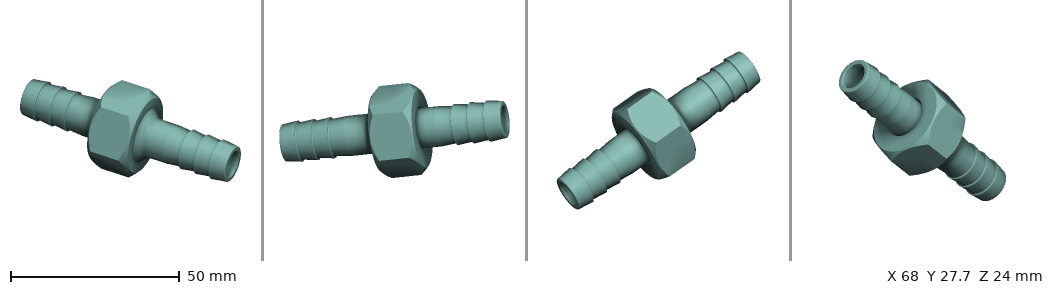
import cadquery as cq
import math

total_length = 68.0
bore_radius = 8.0 / 2

stem_radius = 12.0 / 2
barb_count = 4
barb_pitch = 5.0
barb_crest_radius = 12.3 / 2
barb_root_radius = 11.0 / 2
barb_fillet = 0.35
bore_chamfer = 0.2

nut_start = 25.5
nut_length = 13.45
across_flats = 24.0
face_circle_radius = 23.4 / 2
corner_margin = 0.7
clearance_radius = 13.0 / 2

head_radius = 16.6 / 2
neck_fillet = 1.0

nut_end = nut_start + nut_length
joint_x = nut_start + nut_length / 2
half_length = total_length / 2
across_corners = across_flats / math.cos(math.pi / 6)


def revolve_about_x(points):
    """Closed solid from an (x, radius) outline turned about the X axis."""
    return cq.Workplane("XY").polyline(points).close().revolve(360, (0, 0, 0), (1, 0, 0))


def cylinder_along_x(start, end, radius):
    return cq.Workplane("YZ", origin=(start, 0, 0)).circle(radius).extrude(end - start)


def barb_outline():
    """(x, radius) points from the hose end at x = 0 to the start of the plain stem."""
    points = [(0, barb_root_radius)]
    for barb in range(1, barb_count):
        crest_x = barb * barb_pitch
        points.append((crest_x, barb_crest_radius))
        points.append((crest_x, barb_root_radius))
    points.append((barb_count * barb_pitch, stem_radius))
    return points


def make_tail(length, inner_end):
    """Barbed tube with its hose end at x = 0; inner_end closes the outline."""
    tail = revolve_about_x([(0, 0)] + barb_outline() + inner_end + [(length, 0)])
    smallest_circles = cq.selectors.RadiusNthSelector(0)
    return tail.edges(smallest_circles).fillet(barb_fillet)


def drill_bore(tail, length):
    """Through bore with a small chamfer at the hose end."""
    tail = tail.cut(cylinder_along_x(0, length, bore_radius))
    mouth_radius = bore_radius + bore_chamfer
    return tail.cut(
        revolve_about_x([(0, 0), (0, mouth_radius), (bore_chamfer, bore_radius), (bore_chamfer, 0)])
    )


def make_left_tail():
    tail = make_tail(joint_x, [(joint_x, stem_radius)])
    return drill_bore(tail, joint_x)


def make_right_tail():
    """Tail with a cylindrical head and a 45 degree cone down to the stem."""
    length = total_length - joint_x
    cone_start = total_length - nut_end
    neck_x = cone_start - (head_radius - stem_radius)
    head = [(neck_x, stem_radius), (cone_start, head_radius), (length, head_radius)]
    tail = make_tail(length, head)
    neck_edge = cq.selectors.BoxSelector(
        (neck_x - neck_fillet / 2, -head_radius, -head_radius),
        (neck_x + neck_fillet / 2, head_radius, head_radius),
        boundingbox=True,
    )
    tail = tail.edges(neck_edge).edges("%CIRCLE").fillet(neck_fillet)
    tail = drill_bore(tail, length)
    return tail.mirror("YZ").translate((total_length, 0, 0))


def make_nut():
    hexagon = (
        cq.Workplane("YZ", origin=(nut_start, 0, 0))
        .polygon(6, across_corners)
        .extrude(nut_length)
    )
    corner_radius = across_corners / 2 + corner_margin
    chamfer = corner_radius - face_circle_radius
    envelope = cylinder_along_x(nut_start, nut_end, corner_radius)
    envelope = envelope.edges("%CIRCLE").chamfer(chamfer)
    nut = hexagon.intersect(envelope)
    nut = nut.cut(cylinder_along_x(nut_start, joint_x, clearance_radius))
    return nut.cut(cylinder_along_x(joint_x, nut_end, head_radius))


left_tail = make_left_tail()
right_tail = make_right_tail()
nut = make_nut()

bodies = [body.translate((-half_length, 0, 0)).val() for body in (left_tail, nut, right_tail)]
result = cq.Compound.makeCompound(bodies)